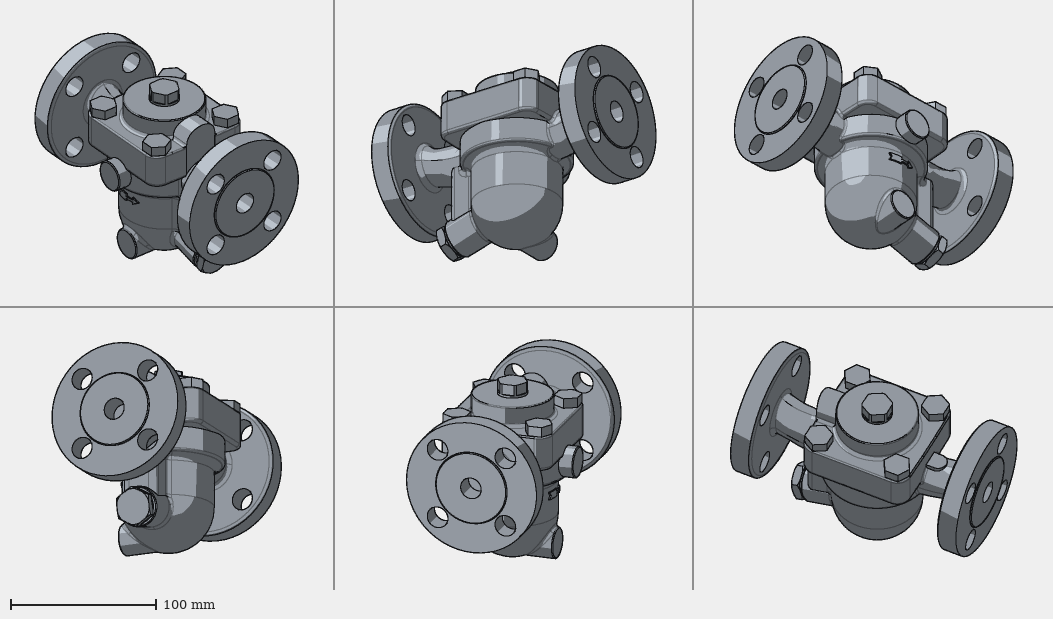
import cadquery as cq
import math

overall_length = 175.0
body_x = -2.6

flange_dia = 95.0
flange_thick = 15.0
flange_chamfer = 1.2
face_dia = 52.2
face_height = 1.0
face_chamfer = 0.7
bore_dia = 15.0
bolt_circle_dia = 70.0
flange_holes = 4
flange_back = overall_length / 2 - face_height - flange_thick

pipe_dia = 28.0
pipe_sections = [
    (flange_back + 1.8, 20.0, -12.6),
    (57.4, 11.7, -15.8),
    (46.9, 11.4, -19.0),
    (body_x + 31.5, 11.4, -19.8),
]
neck_fillet = 3.2
inlet_root_r = 1.8

shell_r = 31.7
dome_z = -46.4
band_r = 39.0
band_bottom = -14.9
band_edge_r = 1.8
band_root_r = 5.0

plate_size = 79.8
plate_bulge = 0.7
plate_corner_r = 10.0
plate_bottom = 0.7
joint_z = 13.0
lid_top = 25.5
plate_bottom_fillet = 2.3
lid_edge_fillet = 1.0

cap_r = 28.5
cap_top = 40.2
cap_root_r = 2.5
cap_edge_r = 0.7
seat_dia = 21.0
seat_height = 1.8
plug_flats = 19.0
plug_top = 49.5
bolt_flats = 17.0
bolt_height = 7.0
bolt_offset = 30.0
lid_boss_r = 12.2
lid_boss_reach = 42.5
lid_boss_top = 39.9

lug_width = 12.6
lug_reach = 53.0
lug_thick = 5.2

rib_width = 25.2
rib_reach = 49.0
rib_corner_r = 5.2
rib_bottom = -57.8
rib_root_r = 4.9

strainer_dia = 28.0
strainer_tilt = 15.0
strainer_end_x = 48.1
strainer_end_z = -59.5
strainer_length = 38.5
strainer_neck_dia = 23.5
strainer_neck = 2.0
strainer_hex_corners = 27.8
strainer_hex_height = 6.5
strainer_hex_chamfer_along = 1.0
strainer_hex_chamfer_in = 1.5
strainer_chamfer = 0.7
strainer_root_r = 3.5

boss_dia = 22.0
boss_chamfer = 0.7
upper_boss_z = -4.7
upper_boss_reach = 48.0
lower_boss_z = -65.8
lower_boss_reach = 33.0
lower_boss_root_r = 2.6

arrow_x = -13.1
arrow_z = -28.2
arrow_height = 1.0
arrow_length = 20.8
arrow_width = 5.5
arrow_notch = 1.5
arrow_tail = 9.8
arrow_shaft = 1.8
arrow_head = 4.7

nudge = 0.2


def on_body_axis(z):
    return cq.Workplane("XY", origin=(body_x, 0, z))


def hexagon_corners(flats):
    """Corner diameter of a hexagon from its width across flats."""
    return flats / math.cos(math.pi / 6)


def edges_between(low, high):
    """Selector for the edges centred inside a box."""
    return cq.selectors.BoxSelector(low, high)


def shell():
    """Domed cylinder that widens to a band under the body flange."""
    root_z = band_bottom - band_edge_r
    band_top = plate_bottom + plate_bottom_fillet
    profile = (
        cq.Workplane("XZ", origin=(body_x, 0, 0))
        .moveTo(0, dome_z - shell_r)
        .radiusArc((shell_r, dome_z), -shell_r)
        .lineTo(shell_r, root_z - band_root_r)
        .radiusArc((shell_r + band_root_r, root_z), band_root_r)
        .lineTo(band_r - band_edge_r, root_z)
        .radiusArc((band_r, band_bottom), -band_edge_r)
        .lineTo(band_r, band_top)
        .lineTo(0, band_top)
        .close()
    )
    return profile.revolve(360, (0, 0, 0), (0, 1, 0))


def front_boss(z, reach):
    start = cq.Workplane("XZ", origin=(body_x, 0, z))
    boss = start.circle(boss_dia / 2).extrude(reach)
    return boss.faces("<Y").edges().chamfer(boss_chamfer)


def add_lower_boss(body):
    """Front boss blended into the dome."""
    joined = body.union(front_boss(lower_boss_z, lower_boss_reach))
    root = edges_between(
        (body_x - nudge, -lower_boss_reach + 2 * boss_chamfer, lower_boss_z - boss_dia / 2),
        (body_x + nudge, -nudge, lower_boss_z + boss_dia / 2),
    )
    return joined.edges(root).fillet(lower_boss_root_r)


def strainer_plane():
    tilt = math.radians(strainer_tilt)
    return cq.Plane(
        origin=(strainer_end_x, 0, strainer_end_z),
        xDir=(0, 1, 0),
        normal=(math.cos(tilt), 0, -math.sin(tilt)),
    )


def strainer_boss():
    """Inclined round boss with the piece of dome it is blended into."""
    boss = cq.Workplane(strainer_plane()).circle(strainer_dia / 2).extrude(-strainer_length)
    boss = boss.faces(">X").edges().chamfer(strainer_chamfer)
    root = edges_between(
        (shell_r / 2, -strainer_dia, strainer_end_z - strainer_dia / 2),
        (shell_r, strainer_dia, dome_z + strainer_dia / 2),
    )
    blended = shell().union(boss).edges(root).fillet(strainer_root_r)
    size = 2 * strainer_length
    corner = cq.Workplane("XY", origin=(shell_r / 2, 0, dome_z + strainer_dia / 2))
    return blended.intersect(corner.center(size / 2, 0).rect(size, size).extrude(-size))


def strainer_plug():
    """Short neck and hexagon head with both ends of its corners turned."""
    neck = cq.Workplane(strainer_plane()).circle(strainer_neck_dia / 2).extrude(strainer_neck)
    end = cq.Workplane(strainer_plane()).workplane(offset=strainer_neck)
    stock = end.circle(strainer_hex_corners / 2).extrude(strainer_hex_height)
    stock = stock.edges().chamfer(strainer_hex_chamfer_along, strainer_hex_chamfer_in)
    head = end.transformed(rotate=(0, 0, 90)).polygon(6, strainer_hex_corners)
    return neck.union(head.extrude(strainer_hex_height).intersect(stock))


def add_rib(body):
    """Vertical outlet passage rib on the +X side, blended into the shell."""
    block = on_body_axis(rib_bottom).center(rib_reach / 2, 0).rect(rib_reach, rib_width)
    rib = block.extrude(-rib_bottom).edges("|Z and >X").fillet(rib_corner_r)
    root = edges_between(
        (shell_r - strainer_dia / 3, -rib_width, rib_bottom),
        (band_r - band_edge_r, rib_width, -band_edge_r),
    )
    return body.union(rib).edges(root).fillet(rib_root_r)


def plate(bottom, top):
    """Square plate with rounded corners and slightly curved X sides."""
    half = plate_size / 2
    outline = (
        on_body_axis(bottom)
        .moveTo(-half, -half)
        .lineTo(half, -half)
        .threePointArc((half + plate_bulge, 0), (half, half))
        .lineTo(-half, half)
        .threePointArc((-half - plate_bulge, 0), (-half, -half))
        .close()
    )
    return outline.extrude(top - bottom).edges("|Z").fillet(plate_corner_r)


def lid():
    """Lid plate with its round cap blended in at the foot."""
    base = plate(joint_z, lid_top).faces(">Z").edges().fillet(lid_edge_fillet)
    cap = on_body_axis(joint_z).circle(cap_r).extrude(cap_top - joint_z)
    root = edges_between(
        (body_x - cap_r - nudge, -cap_r - nudge, lid_top - nudge),
        (body_x + cap_r + nudge, cap_r + nudge, lid_top + nudge),
    )
    body = base.union(cap).edges(root).fillet(cap_root_r)
    return body.faces(">Z").edges().fillet(cap_edge_r)


def lid_boss():
    """Round-topped boss towards +X, flared at its foot on the lid."""
    centre_z = lid_boss_top - lid_boss_r
    flare = centre_z - lid_top
    foot = lid_boss_r + flare
    profile = (
        cq.Workplane("YZ", origin=(body_x, 0, 0))
        .moveTo(-lid_boss_r, plate_bottom)
        .lineTo(-lid_boss_r, lid_top)
        .lineTo(-foot, lid_top)
        .radiusArc((-lid_boss_r, centre_z), -flare)
        .threePointArc((0, lid_boss_top), (lid_boss_r, centre_z))
        .radiusArc((foot, lid_top), -flare)
        .lineTo(lid_boss_r, lid_top)
        .lineTo(lid_boss_r, plate_bottom)
        .close()
    )
    rounded_end = on_body_axis(plate_bottom).circle(lid_boss_reach).extrude(lid_boss_top)
    return profile.extrude(lid_boss_reach).intersect(rounded_end)


def lid_plug():
    """Seat ring and hexagon head with turned corners."""
    ring = on_body_axis(cap_top).circle(seat_dia / 2).extrude(seat_height)
    height = plug_top - cap_top
    stock = on_body_axis(cap_top).circle(seat_dia / 2).extrude(height)
    turned = on_body_axis(cap_top).transformed(rotate=(0, 0, 30))
    head = turned.polygon(6, hexagon_corners(plug_flats)).extrude(height)
    return ring.union(head.intersect(stock))


def lid_bolt(side_x, side_y):
    """Hexagon head; neighbours are turned by 30 degrees."""
    centre = (body_x + side_x * bolt_offset, side_y * bolt_offset, lid_top)
    turn = 30 if side_x == side_y else 0
    plane = cq.Workplane("XY", origin=centre).transformed(rotate=(0, 0, turn))
    return plane.polygon(6, hexagon_corners(bolt_flats)).extrude(bolt_height)


def lug():
    """Round-nosed lug on the inlet side, level with the joint."""
    nose_x = lug_reach - lug_width / 2
    bar = on_body_axis(joint_z).center(-nose_x / 2, 0).rect(nose_x, lug_width).extrude(-lug_thick)
    nose = on_body_axis(joint_z).center(-nose_x, 0).circle(lug_width / 2).extrude(-lug_thick)
    return bar.union(nose)


def flow_arrow():
    """Arrow pointing to +X, raised from the front of the shell."""
    tail = arrow_x + arrow_tail
    tip = arrow_x + arrow_length
    neck = tip - arrow_head
    wide = arrow_width / 2
    thin = arrow_shaft / 2
    outline = [(arrow_x, wide), (tail, wide), (tail, thin), (neck, thin), (neck, wide), (tip, 0)]
    mirrored = [(x, -z) for x, z in reversed(outline[:-1])]
    notch = [(arrow_x + arrow_notch, 0)]
    reach = shell_r + arrow_height
    plane = cq.Workplane("XZ", origin=(0, 0, arrow_z))
    prism = plane.polyline(outline + mirrored + notch).close().extrude(reach)
    skin = on_body_axis(dome_z).circle(reach).extrude(-dome_z)
    return prism.intersect(skin)


def pipe_end():
    """Bent oval pipe neck with its flange on the +X end."""
    sections = []
    for x, top, bottom in pipe_sections:
        plane = cq.Plane(origin=(x, 0, (top + bottom) / 2), xDir=(0, 1, 0), normal=(1, 0, 0))
        section = cq.Workplane(plane).ellipse(pipe_dia / 2, (top - bottom) / 2)
        sections.append(section.wires().val())
    neck = cq.Workplane(cq.Solid.makeLoft(sections))
    back = cq.Workplane("YZ", origin=(flange_back, 0, 0))
    disc = back.circle(flange_dia / 2).extrude(flange_thick)
    disc = disc.faces("<X").edges().chamfer(flange_chamfer)
    root = edges_between(
        (flange_back - nudge, -pipe_dia, -pipe_dia),
        (flange_back + nudge, pipe_dia, pipe_dia),
    )
    end = neck.union(disc).edges(root).fillet(neck_fillet)
    face = back.workplane(offset=flange_thick).circle(face_dia / 2).extrude(face_height)
    return end.union(face.faces(">X").edges().chamfer(face_chamfer))


def pipe_end_holes():
    """Bolt holes and bore of the +X flange."""
    back = cq.Workplane("YZ", origin=(flange_back, 0, 0))
    holes = back.polarArray(bolt_circle_dia / 2, 45, 360, flange_holes)
    holes = holes.circle(bore_dia / 2).extrude(flange_thick)
    return holes.union(back.circle(bore_dia / 2).extrude(flange_thick + face_height))


def add_inlet(body, inlet):
    """Join the inlet neck with a small blend around its root."""
    plate_edge = body_x - plate_size / 2 - plate_bulge
    root = edges_between(
        (plate_edge - nudge, -pipe_dia / 2 - nudge, dome_z / 2),
        (body_x - shell_r - nudge, pipe_dia / 2 + nudge, joint_z - nudge),
    )
    return body.union(inlet).edges(root).fillet(inlet_root_r)


body = add_rib(add_lower_boss(shell())).union(strainer_boss())
body = body.union(flow_arrow())
body_flange = plate(plate_bottom, joint_z).faces("<Z").edges().fillet(plate_bottom_fillet)

end = pipe_end()
holes = pipe_end_holes()

result = add_inlet(body.union(body_flange).union(lid()), end.mirror("YZ"))
result = result.union(end).union(lid_boss()).union(lid_plug())
for side_x in (-1, 1):
    for side_y in (-1, 1):
        result = result.union(lid_bolt(side_x, side_y))
result = result.union(lug()).union(strainer_plug())
result = result.union(front_boss(upper_boss_z, upper_boss_reach))
result = result.cut(holes).cut(holes.mirror("YZ"))